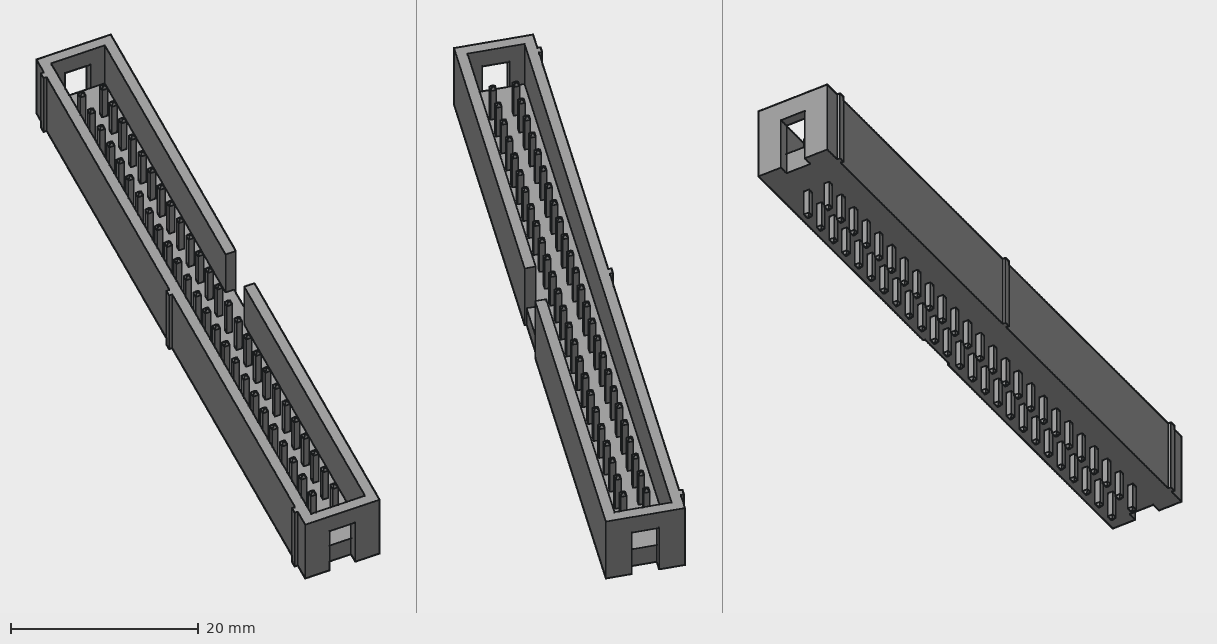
import cadquery as cq


length = 71.1
depth = 8.7
height = 8.9
end_wall = 1.15
side_wall = 1.2
floor_height = 2.6

rib_width = 0.7
rib_projection = 0.35
rib_end_distance = 2.35

key_width = 4.9
key_recess = 0.2

slot_width = 3.0
slot_height = 6.5

columns = 25
rows = 2
row_length = 60.9
pitch = row_length / (columns - 1)
pin_size = 0.65
pin_tail = 3.5
pin_top = 7.5
tip_height = 0.35
tip_size = 0.2


def box(x_size, y_size, z_size, x, y, z):
    """Box centred on x and y that stands on level z."""
    return cq.Workplane("XY").box(x_size, y_size, z_size, (True, True, False)).translate((x, y, z))


def make_housing():
    """Rectangular block with a cavity open at the top."""
    block = box(length, depth, height, 0, 0, 0)
    cavity = box(length - 2 * end_wall, depth - 2 * side_wall, height - floor_height, 0, 0, floor_height)
    return block.cut(cavity)


def make_ribs():
    """Upright ribs near both ends and at the middle of the front face."""
    ribs = cq.Workplane("XY")
    outer = length / 2 - rib_end_distance
    for x in (-outer, 0, outer):
        ribs = ribs.add(box(rib_width, 2 * rib_projection, height, x, -depth / 2, 0))
    return ribs.combine()


def make_keyway():
    """Gap through the back wall above the floor, and a shallow recess below it."""
    gap = box(key_width, side_wall, height - floor_height, 0, (depth - side_wall) / 2, floor_height)
    recess = box(key_width, key_recess, height, 0, (depth - key_recess) / 2, 0)
    return gap.union(recess)


def make_end_slots():
    """Slots from the underside up through both end walls."""
    x = (length - end_wall) / 2
    slot = box(end_wall, slot_width, slot_height, x, 0, 0)
    return slot.union(slot.mirror("YZ"))


def make_pin():
    """Square pin with a blunt pyramid at each end."""
    shank_bottom = tip_height - pin_tail
    shank_top = pin_top - tip_height
    shank = box(pin_size, pin_size, shank_top - shank_bottom, 0, 0, shank_bottom)
    taper = (
        cq.Workplane("XY")
        .rect(pin_size, pin_size)
        .workplane(offset=tip_height)
        .rect(tip_size, tip_size)
        .loft(ruled=True)
    )
    upper_tip = taper.translate((0, 0, shank_top))
    lower_tip = taper.mirror("XY").translate((0, 0, shank_bottom))
    return shank.union(upper_tip).union(lower_tip)


def make_pins():
    """Grid of pins centred on the housing."""
    pin = make_pin().val()
    grid = cq.Workplane("XY").rarray(pitch, pitch, columns, rows)
    return grid.eachpoint(lambda place: pin.moved(place))


result = (
    make_housing()
    .union(make_ribs())
    .cut(make_keyway())
    .cut(make_end_slots())
    .union(make_pins())
)